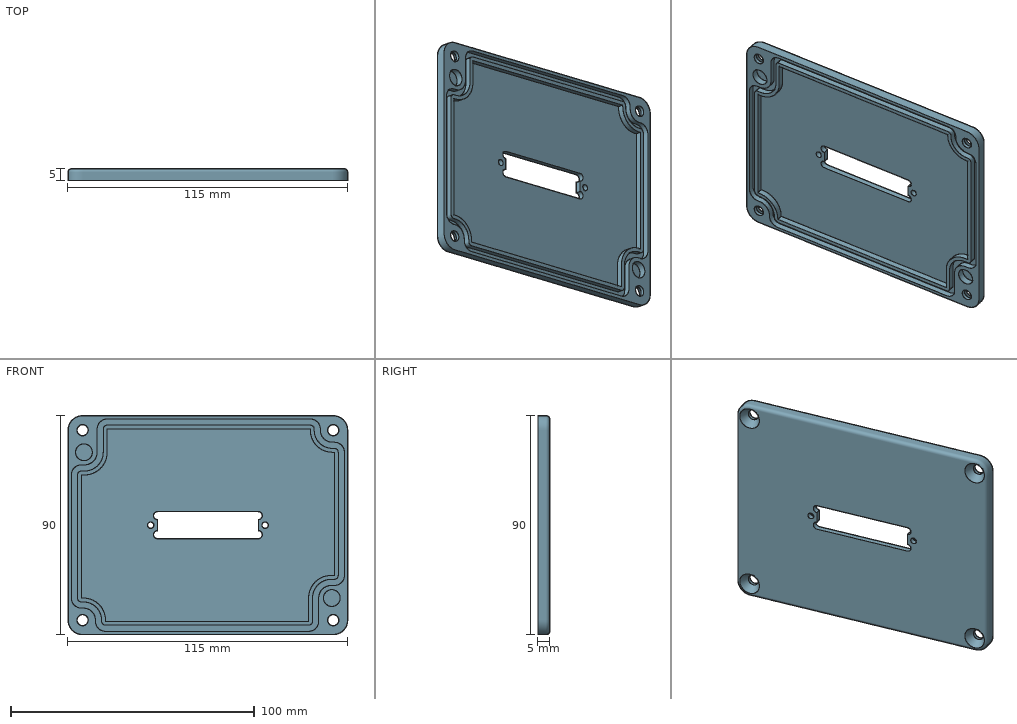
import cadquery as cq
import math

width = 115.0
height = 90.0
thickness = 5.0
corner_radius = 6.0
back_edge_radius = 1.5

rim_width = 1.4
groove_width = 2.5
rib_width = 1.6
groove_depth = 2.5
panel_depth = 2.5

screw_notch_side = 6.3
screw_notch_end = 6.0
screw_notch_radius = 9.1
magnet_notch_side = 6.8
magnet_notch_end = 15.1
magnet_notch_radius = 9.3

screw_inset = 6.0
screw_diameter = 4.5
screw_head_diameter = 9.0
screw_seat_thickness = 1.5
magnet_inset_side = 6.5
magnet_inset_end = 15.1
magnet_diameter = 6.9
magnet_depth = 3.0

window_width = 41.4
window_height = 11.0
relief_radius = 1.6
connector_screw_spacing = 47.0
connector_screw_diameter = 2.5

half_width = width / 2
half_height = height / 2


def on_inner_face():
    """Sketch plane on the inner face: sketch x is X, sketch y is Z, extruding runs toward -Y."""
    return cq.Workplane("XZ")


def make_plate():
    blank = on_inner_face().rect(width, height).extrude(-thickness)
    return blank.edges("|Y").fillet(corner_radius).faces(">Y").edges().fillet(back_edge_radius)


def make_panel(growth, depth):
    """Pocket with the notched panel outline, grown outward all round with rounded corners."""
    inset = rim_width + groove_width + rib_width
    side = half_width - inset
    end = half_height - inset
    screw_r = screw_notch_radius
    screw_x = half_width - screw_notch_side
    screw_z = half_height - screw_notch_end
    magnet_r = magnet_notch_radius
    magnet_x = half_width - magnet_notch_side
    magnet_z = half_height - magnet_notch_end
    outline = (
        on_inner_face()
        .moveTo(magnet_r - magnet_x, end)
        .lineTo(screw_x - screw_r, end)
        .lineTo(screw_x - screw_r, screw_z)
        .radiusArc((screw_x, screw_z - screw_r), -screw_r)
        .lineTo(side, screw_z - screw_r)
        .lineTo(side, magnet_r - magnet_z)
        .lineTo(magnet_x, magnet_r - magnet_z)
        .radiusArc((magnet_x - magnet_r, -magnet_z), -magnet_r)
        .lineTo(magnet_x - magnet_r, -end)
        .lineTo(screw_r - screw_x, -end)
        .lineTo(screw_r - screw_x, -screw_z)
        .radiusArc((-screw_x, screw_r - screw_z), -screw_r)
        .lineTo(-side, screw_r - screw_z)
        .lineTo(-side, magnet_z - magnet_r)
        .lineTo(-magnet_x, magnet_z - magnet_r)
        .radiusArc((magnet_r - magnet_x, magnet_z), -magnet_r)
        .close()
    )
    if growth > 0:
        outline = outline.offset2D(growth, "arc")
    return outline.extrude(-depth)


def make_groove():
    outside = make_panel(rib_width + groove_width, groove_depth)
    return outside.cut(make_panel(rib_width, groove_depth))


def make_holes(points, diameter, depth):
    return on_inner_face().pushPoints(points).circle(diameter / 2).extrude(-depth)


def make_countersinks(points):
    """Cones that open from the screw hole diameter to the head diameter at the outer face."""
    head_depth = thickness - screw_seat_thickness
    half_angle = math.degrees(math.atan((screw_head_diameter - screw_diameter) / 2 / head_depth))
    return (
        on_inner_face()
        .workplane(offset=-thickness)
        .pushPoints(points)
        .circle(screw_head_diameter / 2)
        .extrude(head_depth, taper=half_angle)
    )


def make_window():
    relief_x = window_width / 2
    relief_z = window_height / 2 - relief_radius
    reliefs = [(x, z) for x in (-relief_x, relief_x) for z in (-relief_z, relief_z)]
    opening = on_inner_face().rect(window_width, window_height).extrude(-thickness)
    return opening.union(make_holes(reliefs, 2 * relief_radius, thickness))


screw_x = half_width - screw_inset
screw_z = half_height - screw_inset
screw_points = [(x, z) for x in (-screw_x, screw_x) for z in (-screw_z, screw_z)]
magnet_x = half_width - magnet_inset_side
magnet_z = half_height - magnet_inset_end
magnet_points = [(-magnet_x, magnet_z), (magnet_x, -magnet_z)]
connector_points = [(-connector_screw_spacing / 2, 0), (connector_screw_spacing / 2, 0)]

result = (
    make_plate()
    .cut(make_panel(0, panel_depth))
    .cut(make_groove())
    .cut(make_holes(screw_points, screw_diameter, thickness))
    .cut(make_countersinks(screw_points))
    .cut(make_holes(magnet_points, magnet_diameter, magnet_depth))
    .cut(make_window())
    .cut(make_holes(connector_points, connector_screw_diameter, thickness))
)